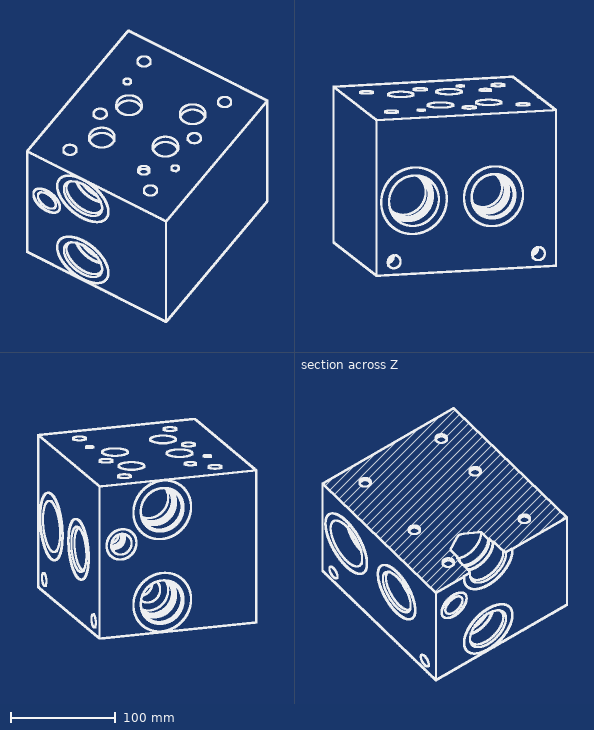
import cadquery as cq
import math

width = 158.8
depth = 177.8
height = 152.4

point_slope = 1 / math.tan(math.radians(118 / 2))

spotface_depth = 0.5
seat_depth = 3.4

port_thread_depth = 19.0
port_tap_depth = 24.0
port_bore_depth = 35.5

pattern_x = 33.5
pattern_y = depth - 23.8
bolt_span_x = 92.0
bolt_rows_left = (0, 77.0, 130.1)
bolt_rows_right = (0, 53.2, 130.1)
valve_port_diameter = 24.5
valve_port_depth = 8.0
valve_ports = ((17.5, 53.2), (17.5, 100.8), (74.5, 29.3), (74.5, 77.0))
pin_diameter = 7.1
pin_depth = 8.9
pin_holes = ((0, 29.5), (96.7, 94.2))
pilot_diameter = 11.0
pilot_depth = 4.5
pilot_hole = (73.0, 112.7)

bolt_thread_diameter = 12.6
bolt_drill_diameter = 10.7
bolt_thread_depth = 24.9
bolt_drill_depth = 30.2

work_port_x = 63.5
port_a = (work_port_x, 30.0)
port_b = (work_port_x, 122.5)
port_y = (22.2, 92.1)
passage_diameter = 23.5
passage_depth = 62.2

side_port_z = 71.5
port_t = (140.6, side_port_z)
port_p = (61.9, side_port_z)
side_bolt_z = 12.8
side_bolts = ((17.5, side_bolt_z), (160.4, side_bolt_z))


def turned_cutter(profile):
    """Revolve (radius, depth) points, ending on the axis, into a cutter pointing down from the origin."""
    points = [(radius, -level) for radius, level in profile]
    axis_start = (0, points[0][1])
    outline = cq.Workplane("XZ").polyline([axis_start] + points)
    return outline.close().revolve(360, (0, 0), (0, 1))


def drilled(diameter, straight_depth):
    """Blind hole with a drill point."""
    radius = diameter / 2
    tip = straight_depth + radius * point_slope
    return turned_cutter([(radius, 0), (radius, straight_depth), (0, tip)])


def bolt_hole():
    thread = bolt_thread_diameter / 2
    drill = bolt_drill_diameter / 2
    return turned_cutter([
        (thread, 0),
        (thread, bolt_thread_depth),
        (drill, bolt_thread_depth),
        (drill, bolt_drill_depth),
        (0, bolt_drill_depth + drill * point_slope),
    ])


def straight_thread_port(spotface, mouth, thread, tap_drill, bore, thread_depth, tap_depth, bore_depth):
    """Spotface, conical seal seat, thread, tap drill and a narrower bore with a drill point."""
    shoulder = tap_depth + (tap_drill - bore) / 2 * point_slope
    return turned_cutter([
        (spotface / 2, 0),
        (spotface / 2, spotface_depth),
        (mouth / 2, spotface_depth),
        (thread / 2, seat_depth),
        (thread / 2, thread_depth),
        (tap_drill / 2, thread_depth),
        (tap_drill / 2, tap_depth),
        (bore / 2, shoulder),
        (bore / 2, bore_depth),
        (0, bore_depth + bore / 2 * point_slope),
    ])


def on_top(cutter, offset):
    return cutter.translate((pattern_x + offset[0], pattern_y - offset[1], height))


def on_front(cutter, place):
    return cutter.rotate((0, 0, 0), (1, 0, 0), 90).translate((place[0], 0, place[1]))


def on_left(cutter, place):
    return cutter.rotate((0, 0, 0), (0, 1, 0), -90).translate((0, place[0], place[1]))


work_port = straight_thread_port(
    spotface=58.5,
    mouth=43.5,
    thread=41.2,
    tap_drill=39.3,
    bore=37.0,
    thread_depth=port_thread_depth,
    tap_depth=port_tap_depth,
    bore_depth=port_bore_depth,
)
pressure_port = straight_thread_port(
    spotface=58.5,
    mouth=43.5,
    thread=41.2,
    tap_drill=39.3,
    bore=35.7,
    thread_depth=port_thread_depth,
    tap_depth=port_tap_depth,
    bore_depth=port_bore_depth,
)
tank_port = straight_thread_port(
    spotface=65.0,
    mouth=49.5,
    thread=47.7,
    tap_drill=45.5,
    bore=42.1,
    thread_depth=port_thread_depth,
    tap_depth=port_tap_depth,
    bore_depth=port_bore_depth,
)
drain_port = straight_thread_port(
    spotface=30.2,
    mouth=20.6,
    thread=19.0,
    tap_drill=17.6,
    bore=14.8,
    thread_depth=17.8,
    tap_depth=21.3,
    bore_depth=30.2,
)

result = cq.Workplane("XY").box(width, depth, height, centered=False)

for place in valve_ports:
    result = result.cut(on_top(drilled(valve_port_diameter, valve_port_depth), place))
for place in pin_holes:
    result = result.cut(on_top(drilled(pin_diameter, pin_depth), place))
result = result.cut(on_top(drilled(pilot_diameter, pilot_depth), pilot_hole))
for column_x, rows in ((0, bolt_rows_left), (bolt_span_x, bolt_rows_right)):
    for row in rows:
        result = result.cut(on_top(bolt_hole(), (column_x, row)))

for place in (port_a, port_b):
    result = result.cut(on_front(work_port, place))
result = result.cut(on_front(drilled(passage_diameter, passage_depth), port_a))
result = result.cut(on_front(drain_port, port_y))

result = result.cut(on_left(tank_port, port_t))
result = result.cut(on_left(pressure_port, port_p))
for place in side_bolts:
    result = result.cut(on_left(bolt_hole(), place))